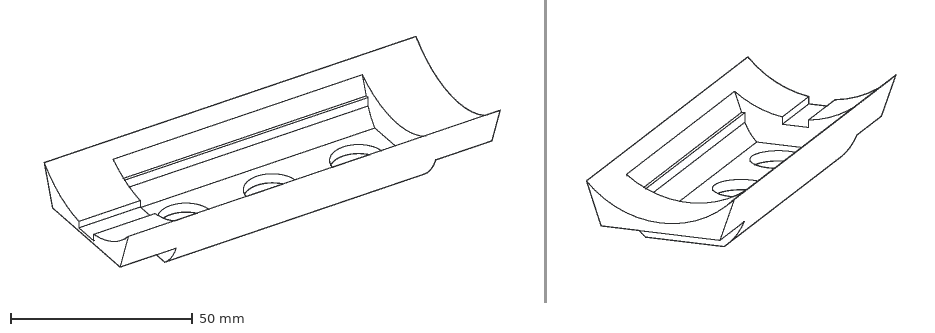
import cadquery as cq
import math

length = 121.0
top_half_width = 22.0
height = 20.6
saddle_radius = 30.0

bend_z = 8.7
flank_radius = 19.0
flank_centre_z = 15.0
flange_underside_z = 8.0
keel_length = 84.5

pocket_length = 81.1
mouth_half_width = 18.0
mouth_z = 17.0
ledge_z = 11.1
ledge_outer = 16.0
ledge_inner = 15.0
floor_half_width = 11.5
floor_z = 3.0
pocket_radius = 16.0
pocket_arc_top_z = 8.3

hole_diameter = 16.0
hole_pitch = 28.1
hole_count = 3
slot_width = 7.7
slot_floor_z = 9.1


def flank_half_width(z):
    """Half width of the curved lower flank at height z."""
    return math.sqrt(flank_radius**2 - (z - flank_centre_z) ** 2)


def section_plane(section_length):
    """XZ sketch plane whose extrusion runs toward -Y, ending up centred on Y = 0."""
    return cq.Workplane("XZ", origin=(0, section_length / 2, 0))


def make_body():
    bend_x = flank_half_width(bend_z)
    middle_z = bend_z / 2
    middle_x = flank_half_width(middle_z)
    bottom_x = flank_half_width(0)
    saddle_centre_z = height + math.sqrt(saddle_radius**2 - top_half_width**2)
    saddle_bottom_z = saddle_centre_z - saddle_radius
    return (
        section_plane(length)
        .moveTo(-top_half_width, height)
        .threePointArc((0, saddle_bottom_z), (top_half_width, height))
        .lineTo(bend_x, bend_z)
        .threePointArc((middle_x, middle_z), (bottom_x, 0))
        .lineTo(-bottom_x, 0)
        .threePointArc((-middle_x, middle_z), (-bend_x, bend_z))
        .close()
        .extrude(length)
    )


def make_end_relief(side):
    """Block below the flange that leaves the keel short of one end."""
    relief_length = (length - keel_length) / 2
    return (
        cq.Workplane("XY")
        .center(0, side * (length - relief_length) / 2)
        .rect(2 * top_half_width, relief_length)
        .extrude(flange_underside_z)
    )


def make_pocket():
    wall_slope = (mouth_half_width - ledge_outer) / (mouth_z - ledge_z)
    upper_x = ledge_outer + wall_slope * (height - ledge_z)
    return (
        section_plane(pocket_length)
        .moveTo(-upper_x, height)
        .lineTo(-ledge_outer, ledge_z)
        .lineTo(-ledge_inner, ledge_z)
        .lineTo(-ledge_inner, pocket_arc_top_z)
        .radiusArc((-floor_half_width, floor_z), -pocket_radius)
        .lineTo(floor_half_width, floor_z)
        .radiusArc((ledge_inner, pocket_arc_top_z), -pocket_radius)
        .lineTo(ledge_inner, ledge_z)
        .lineTo(ledge_outer, ledge_z)
        .lineTo(upper_x, height)
        .close()
        .extrude(pocket_length)
    )


def make_holes():
    return (
        cq.Workplane("XY")
        .rarray(1.2, hole_pitch, 1, hole_count)
        .circle(hole_diameter / 2)
        .extrude(height)
    )


def make_slot():
    """Flat-bottomed slot from the -Y end through to the pocket."""
    slot_length = length / 2
    return (
        cq.Workplane("XY", origin=(0, -slot_length / 2, slot_floor_z))
        .rect(slot_width, slot_length)
        .extrude(height - slot_floor_z)
    )


result = make_body()
for side in (-1, 1):
    result = result.cut(make_end_relief(side))
result = result.cut(make_pocket()).cut(make_holes()).cut(make_slot())